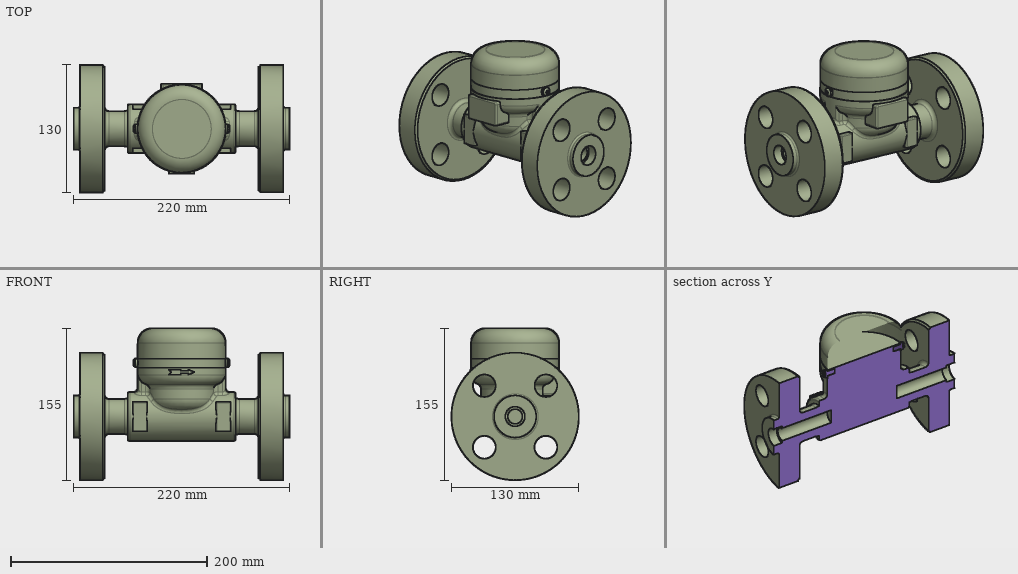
import cadquery as cq
import math

overall_length = 220.0
body_length = 110.0
body_diameter = 50.0
body_end_round = 2.0
pipe_diameter = 36.0
pipe_weld_length = 3.5
pipe_weld_height = 0.7

flange_diameter = 130.0
flange_thickness = 25.4
flange_back_cove = 2.0
flange_neck_round = 4.0
raised_face_diameter = 42.9
raised_face_height = 6.4
raised_face_round = 1.8
bolt_circle_diameter = 88.6
bolt_hole_diameter = 23.0
bolt_count = 4
first_bolt_angle = 45.0

socket_diameter = 20.0
socket_depth = 10.0
bore_diameter = 15.0
bore_end = 40.0

cap_top = 90.0
cap_height = 40.5
cap_diameter = 90.0
cap_round = 15.0
spigot_diameter = 88.6
spigot_height = 9.5
head_band_height = 7.1
head_round = 10.0
neck_diameter = 70.0
neck_round = 5.0
neck_straight_height = 10.0
neck_bottom_round = 11.5
neck_body_round = 4.0

column_width = 21.0
column_neck_round = 5.0
column_corner_round = 3.0

pad_width = 15.0
pad_height = 30.0
pad_center_x = 42.5
pad_round = 1.0

boss_width = 42.0
boss_reach = 46.0
boss_bottom = 21.0
boss_top = 46.5
boss_side_round = 2.5
boss_face_round = 1.5

arrow_length = 26.0
arrow_head_length = 6.0
arrow_tail_length = 12.0
arrow_shaft_height = 2.3
arrow_z = 45.2
arrow_height = 5.2
arrow_notch = 2.5
arrow_relief = 0.9

screw_z = 54.6
screw_head_diameter = 9.0
screw_tip_diameter = 4.0
screw_head_seat = 44.4
screw_head_rim = 47.0
screw_head_top = 49.2
screw_shank_diameter = 5.0
screw_shank_end = 36.0
screw_hex_size = 3.0
screw_hex_depth = 2.0

select_margin = 1.0

body_radius = body_diameter / 2
pipe_radius = pipe_diameter / 2
cap_radius = cap_diameter / 2
neck_radius = neck_diameter / 2
seam_z = cap_top - cap_height
spigot_top = seam_z + spigot_height
flange_front = overall_length / 2 - raised_face_height
flange_back = flange_front - flange_thickness
head_band_bottom = seam_z - head_band_height
head_round_radius = cap_radius - head_round
head_round_span = head_round + neck_round
neck_round_center = neck_radius + neck_round
neck_top = head_band_bottom - math.sqrt(head_round_span**2 - (neck_round_center - head_round_radius) ** 2)
neck_bottom = neck_top - neck_straight_height


def point_on_arc(center, radius, angle):
    return (center[0] + radius * math.cos(angle), center[1] + radius * math.sin(angle))


def make_valve_body():
    left_end = cq.Workplane("YZ", origin=(-body_length / 2, 0, 0))
    cylinder = left_end.circle(body_radius).extrude(body_length)
    return cylinder.edges("%CIRCLE").fillet(body_end_round)


def make_head():
    """Spigot, round shoulder and neck, running down into the valve body."""
    convex_center = (head_round_radius, head_band_bottom)
    concave_center = (neck_round_center, neck_top)
    turn = math.atan2(neck_top - head_band_bottom, neck_round_center - head_round_radius)
    concave_mid_angle = math.pi + turn / 2
    bottom_center = (neck_radius - neck_bottom_round, neck_bottom)
    return (
        cq.Workplane("XZ")
        .moveTo(0, spigot_top)
        .lineTo(spigot_diameter / 2, spigot_top)
        .lineTo(spigot_diameter / 2, seam_z)
        .lineTo(cap_radius, seam_z)
        .lineTo(cap_radius, head_band_bottom)
        .threePointArc(
            point_on_arc(convex_center, head_round, turn / 2),
            point_on_arc(convex_center, head_round, turn),
        )
        .threePointArc(
            point_on_arc(concave_center, neck_round, concave_mid_angle),
            (neck_radius, neck_top),
        )
        .lineTo(neck_radius, neck_bottom)
        .threePointArc(
            point_on_arc(bottom_center, neck_bottom_round, -math.pi / 4),
            (bottom_center[0], neck_bottom - neck_bottom_round),
        )
        .lineTo(0, neck_bottom - neck_bottom_round)
        .close()
        .revolve(360, (0, 0, 0), (0, 1, 0))
    )


def make_columns():
    """Columns under the shoulder, blended into the neck by upright fillets."""
    height = head_band_bottom - neck_bottom
    blend_reach = neck_radius + column_neck_round
    base = cq.Workplane("XY", origin=(0, 0, neck_bottom))
    bar = base.rect(cap_diameter, column_width).extrude(height)
    upper = bar.union(base.circle(neck_radius).extrude(height))
    inner_zone = cq.selectors.BoxSelector(
        (-blend_reach, -blend_reach, neck_bottom),
        (blend_reach, blend_reach, head_band_bottom),
    )
    upper = upper.edges("|Z").edges(inner_zone).fillet(column_neck_round)
    envelope = base.circle(cap_radius).extrude(height)
    upper = upper.intersect(envelope)
    corner_x = math.sqrt(cap_radius**2 - (column_width / 2) ** 2)
    for side in (-1, 1):
        corner_zone = cq.selectors.BoxSelector(
            (side * corner_x - select_margin, -column_width, neck_bottom),
            (side * corner_x + select_margin, column_width, head_band_bottom),
        )
        upper = upper.edges("|Z").edges(corner_zone).fillet(column_corner_round)
    return upper


def make_pads():
    pads = cq.Workplane("XY").box(pad_width, body_diameter, pad_height)
    pads = pads.edges("|Z or >Z").fillet(pad_round)
    return pads.translate((-pad_center_x, 0, 0)).union(pads.translate((pad_center_x, 0, 0)))


def make_boss():
    boss_height = boss_top - boss_bottom
    block = cq.Workplane("XY").box(boss_width, boss_reach, boss_height, centered=(True, False, False))
    block = block.edges("|Y").fillet(boss_side_round)
    block = block.faces(">Y").edges().fillet(boss_face_round)
    return block.translate((0, 0, boss_bottom))


def make_flow_arrow():
    tail = -arrow_length / 2
    tip = arrow_length / 2
    shaft_start = tail + arrow_tail_length
    head_start = tip - arrow_head_length
    half_shaft = arrow_shaft_height / 2
    half_height = arrow_height / 2
    return (
        cq.Workplane("XZ", origin=(0, 0, arrow_z))
        .polyline([
            (tail, -half_height),
            (shaft_start, -half_height),
            (shaft_start, -half_shaft),
            (head_start, -half_shaft),
            (head_start, -half_height),
            (tip, 0),
            (head_start, half_height),
            (head_start, half_shaft),
            (shaft_start, half_shaft),
            (shaft_start, half_height),
            (tail, half_height),
            (tail + arrow_notch, 0),
        ])
        .close()
        .extrude(cap_radius + arrow_relief)
    )


def make_flange_and_pipe():
    """Flange, raised face and pipe stub as one turned shape on the +X side."""
    body_end = body_length / 2
    raised_radius = raised_face_diameter / 2
    flange_radius = flange_diameter / 2
    quarter = math.pi / 4
    neck_center = (flange_back - flange_neck_round, pipe_radius + flange_neck_round)
    face_center = (flange_front + raised_face_round, raised_radius + raised_face_round)
    flange = (
        cq.Workplane("XY")
        .moveTo(0, 0)
        .lineTo(0, pipe_radius)
        .lineTo(body_end - body_end_round, pipe_radius)
        .lineTo(body_end, pipe_radius + pipe_weld_height)
        .lineTo(body_end + pipe_weld_length, pipe_radius)
        .lineTo(neck_center[0], pipe_radius)
        .threePointArc(
            point_on_arc(neck_center, flange_neck_round, -quarter),
            (flange_back, neck_center[1]),
        )
        .lineTo(flange_back, flange_radius - flange_back_cove)
        .radiusArc((flange_back + flange_back_cove, flange_radius), -flange_back_cove)
        .lineTo(flange_front, flange_radius)
        .lineTo(flange_front, face_center[1])
        .threePointArc(
            point_on_arc(face_center, raised_face_round, -3 * quarter),
            (face_center[0], raised_radius),
        )
        .lineTo(overall_length / 2, raised_radius)
        .lineTo(overall_length / 2, 0)
        .close()
        .revolve(360, (0, 0, 0), (1, 0, 0))
    )
    bolt_holes = (
        cq.Workplane("YZ", origin=(flange_back, 0, 0))
        .polarArray(bolt_circle_diameter / 2, first_bolt_angle, 360, bolt_count)
        .circle(bolt_hole_diameter / 2)
        .extrude(flange_thickness)
    )
    return flange.cut(bolt_holes)


def make_bore():
    """Stepped blind bore from the +X raised face."""
    face = cq.Workplane("YZ", origin=(overall_length / 2, 0, 0))
    socket = face.circle(socket_diameter / 2).extrude(-socket_depth)
    bore = face.circle(bore_diameter / 2).extrude(bore_end - overall_length / 2)
    return socket.union(bore)


def make_screw_blank():
    """Button head and shank of the +X screw, without the hexagon socket."""
    head_radius = screw_head_diameter / 2
    tip_radius = screw_tip_diameter / 2
    shank_radius = screw_shank_diameter / 2
    return (
        cq.Workplane("XY")
        .moveTo(screw_shank_end, 0)
        .lineTo(screw_shank_end, shank_radius)
        .lineTo(screw_head_seat, shank_radius)
        .lineTo(screw_head_seat, head_radius)
        .lineTo(screw_head_rim, head_radius)
        .radiusArc((screw_head_top, tip_radius), head_radius)
        .lineTo(screw_head_top, 0)
        .close()
        .revolve(360, (0, 0, 0), (1, 0, 0))
        .translate((0, 0, screw_z))
    )


def make_hex_socket():
    corner_diameter = screw_hex_size / math.cos(math.pi / 6)
    plane = cq.Workplane("YZ", origin=(screw_head_top, 0, screw_z))
    return plane.polygon(6, corner_diameter).extrude(-screw_hex_depth)


def both_ends(shape):
    """The shape on the +X side and its copy turned half a turn about Z."""
    return [shape, shape.rotate((0, 0, 0), (0, 0, 1), 180)]


def make_housing():
    joint_zone = cq.selectors.BoxSelector(
        (-cap_radius, -body_radius, select_margin),
        (cap_radius, body_radius, body_radius),
    )
    core = make_valve_body().union(make_head()).union(make_columns())
    core = core.edges(joint_zone).fillet(neck_body_round)
    housing = core.union(make_pads()).union(make_boss()).union(make_flow_arrow())
    for flange in both_ends(make_flange_and_pipe()):
        housing = housing.union(flange)
    for bore in both_ends(make_bore()):
        housing = housing.cut(bore)
    return housing


def make_cap():
    """Thin domed cap that slips over the spigot."""
    shell = cap_radius - spigot_diameter / 2
    rim = cq.Workplane("XY", origin=(0, 0, seam_z))
    outside = rim.circle(cap_radius).extrude(cap_height)
    outside = outside.faces(">Z").edges().fillet(cap_round)
    inside = rim.circle(spigot_diameter / 2).extrude(cap_height - shell)
    inside = inside.faces(">Z").edges().fillet(cap_round - shell)
    return outside.cut(inside)


housing = make_housing()
cap = make_cap()
screws = []
for blank, socket in zip(both_ends(make_screw_blank()), both_ends(make_hex_socket())):
    housing = housing.cut(blank)
    cap = cap.cut(blank)
    screws.append(blank.cut(socket))

result = cq.Compound.makeCompound([housing.val(), cap.val(), *[screw.val() for screw in screws]])